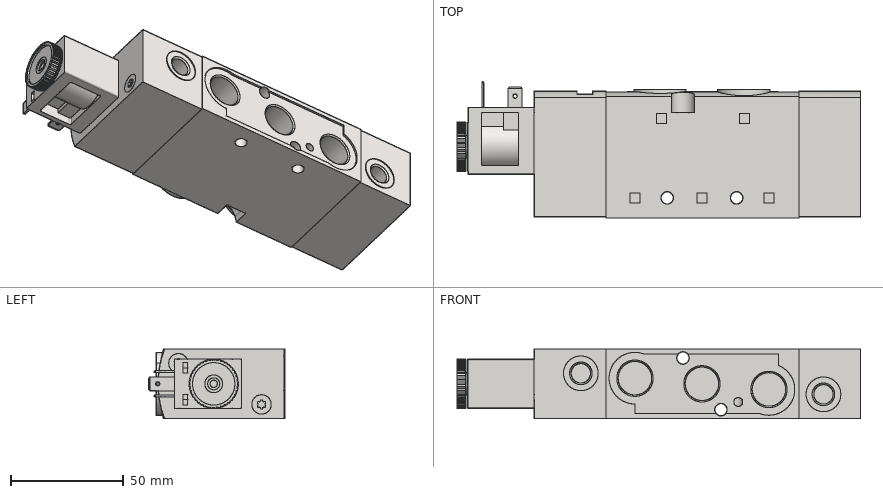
import cadquery as cq
import math


HEIGHT = 31.0
HALF_HEIGHT = HEIGHT / 2
HOUSING_LEFT, HOUSING_RIGHT = -23.5, 62.5
PILOT_CAP_LEFT = -55.5
END_CAP_RIGHT = 89.8
HOUSING_FRONT = -30.4
CAP_FRONT = -29.8
HOUSING_CROWN_Y = 25.9
CAP_CROWN_Y = 26.2
HOUSING_EDGE_Y = 23.7
CAP_EDGE_Y = 23.2

MID_X = 19.2
PORT_PITCH = 29.8
PORT_RISE = 2.5
PORT_BORE, PORT_MOUTH = 15.0, 16.2
PORT_DEPTH = 18.0
GASKET_RADIUS = 11.5
GASKET_HALF_HEIGHT = 13.3
GASKET_DEPTH = 0.9
GASKET_STEP_X = 53.4
BOLT_HOLE = 5.4
CROSS_BOLT_OFFSET, CROSS_BOLT_Z = 8.5, 11.5
BOLT_SLOT_WIDTH = 10.0
BOLT_SLOT_FLOOR_Y = 16.5
VERTICAL_BOLT_OFFSET = 15.5
FRONT_ROW_Y = -21.4
PIN_HOLE, PIN_HOLE_DEPTH = 4.0, 7.2
PIN_HOLE_X, PIN_HOLE_Z = 35.4, -8.0
BOSS_DIAMETER = 23.4
BOSS_OFFSET, BOSS_RISE = 18.7, 2.3
BOSS_FACE_Y = 27.0
LABEL_SIZE, LABEL_DEPTH = 4.5, 0.4
REAR_LABEL_Y = 14.0
REAR_LABEL_XS = (1.3, 38.0)

CAP_PORT_BORE, CAP_PORT_MOUTH = 8.6, 10.0
CAP_PORT_DEPTH = 14.4
SPOTFACE_DIAMETER, SPOTFACE_DEPTH = 15.5, 0.4
PILOT_PORT_X, END_PORT_X = -34.7, 73.3
CAP_PORT_RISE = 4.7
GROOVE_X, GROOVE_WIDTH, GROOVE_FLOOR_Y = -32.9, 6.8, 24.8

SCREW_DIAMETER = 8.6
SCREW_PLACES = [(17.0, 9.2), (-20.0, -9.2)]
SOCKET_CORE, SOCKET_LOBE, SOCKET_LOBES = 3.0, 1.0, 6
SOCKET_DEPTH = 1.5

COIL_LEFT = -84.8
COIL_FRONT, COIL_BACK = -11.0, 18.9
COIL_HALF_HEIGHT = 11.0
COIL_EDGE_RADIUS = 0.4
AXIS_Y = 1.35
WINDING_DIAMETER = 20.5
WINDOW_LEFT, WINDOW_RIGHT = -78.9, -62.3
WINDOW_FRONT, WINDOW_BACK = -7.0, 16.7
WINDOW_CORNER = 0.7
WINDOW_FLOOR_Z = 4.9
LEDGE_LEFT, LEDGE_FRONT, LEDGE_Z = -69.0, 8.0, 7.0
SLOT_FRONT, SLOT_BACK, SLOT_TOP_Z = 13.0, 15.0, 9.5
TOOTH_COUNT = 36
TOOTH_INNER_RADIUS, TOOTH_OUTER_RADIUS = 9.5, 10.8
TOOTH_HEIGHT, TOOTH_WIDTH = 0.5, 1.0

BLADE_WIDTH, BLADE_THICKNESS = 6.3, 0.9
BLADE_HOLE = 1.75
BLADE_TIP_LENGTH = 0.7
BLADE_TIP_INSET = 0.7
BLADE_TIP_THINNING = 0.27
BLADE_HOLE_TO_TIP = 4.1
GROUND_BLADE_X, GROUND_BLADE_TIP_Y = -78.3, 30.4
POWER_BLADE_X, POWER_BLADE_TIP_Y, POWER_BLADE_Z = -64.0, 28.0, 5.4

NUT_LEFT, NUT_RIGHT = -89.8, -86.0
NUT_DIAMETER = 22.0
NUT_RECESS, NUT_RECESS_DEPTH = 18.9, 0.9
KNURL_COUNT, KNURL_WIDTH, KNURL_DEPTH = 40, 0.7, 0.4
HUB_DIAMETER = 10.0
STEM_DIAMETER = 7.9
STEM_RECESS, STEM_RECESS_DEPTH = 5.4, 0.9
STEM_SOCKET, STEM_SOCKET_DEPTH = 3.2, 3.6


def block(x0, x1, y0, y1, z0, z1):
    """Box between two opposite corners."""
    return cq.Workplane("XY").box(x1 - x0, y1 - y0, z1 - z0, centered=False).translate((x0, y0, z0))


def rod_x(x0, x1, y, z, diameter):
    """Cylinder along X."""
    return cq.Workplane("YZ", origin=(x0, y, z)).circle(diameter / 2).extrude(x1 - x0)


def rod_y(y0, y1, x, z, diameter):
    """Cylinder along Y."""
    return cq.Workplane("XZ", origin=(x, y0, z)).circle(diameter / 2).extrude(y0 - y1)


def bulged_block(x0, x1, front_y, edge_y, crown_y):
    """Full-height block whose +Y side bulges out to the crown."""
    return (
        cq.Workplane("YZ", origin=(x0, 0, 0))
        .moveTo(front_y, -HALF_HEIGHT)
        .lineTo(edge_y, -HALF_HEIGHT)
        .threePointArc((crown_y, 0), (edge_y, HALF_HEIGHT))
        .lineTo(front_y, HALF_HEIGHT)
        .close()
        .extrude(x1 - x0)
    )


def port(face_y, x, z, bore, mouth, depth):
    """Blind bore from a -Y face with a 45 degree chamfer at its mouth."""
    chamfer = (mouth - bore) / 2
    cone = cq.Solid.makeCone(mouth / 2, bore / 2, chamfer, cq.Vector(x, face_y, z), cq.Vector(0, 1, 0))
    return rod_y(face_y, face_y + depth, x, z, bore).union(cq.Workplane(cone))


def gasket_recess():
    """Stepped band across the housing front, rounded about the two outer ports."""
    left_x, right_x = MID_X - PORT_PITCH, MID_X + PORT_PITCH
    run_out = math.sqrt(GASKET_RADIUS**2 - (GASKET_HALF_HEIGHT - PORT_RISE) ** 2)
    step_z = math.sqrt(GASKET_RADIUS**2 - (GASKET_STEP_X - right_x) ** 2) - PORT_RISE
    return (
        cq.Workplane("XZ", origin=(0, HOUSING_FRONT + GASKET_DEPTH, 0))
        .moveTo(left_x, PORT_RISE - GASKET_RADIUS)
        .threePointArc((left_x - GASKET_RADIUS, PORT_RISE), (left_x + run_out, GASKET_HALF_HEIGHT))
        .lineTo(GASKET_STEP_X, GASKET_HALF_HEIGHT)
        .lineTo(GASKET_STEP_X, step_z)
        .threePointArc((right_x + GASKET_RADIUS, -PORT_RISE), (right_x - run_out, -GASKET_HALF_HEIGHT))
        .lineTo(left_x, -GASKET_HALF_HEIGHT)
        .close()
        .extrude(GASKET_DEPTH)
    )


def cross_bolt_cut(side):
    """Bolt hole along Y with a head slot open to the top (side 1) or the bottom (side -1)."""
    x, z = MID_X - side * CROSS_BOLT_OFFSET, side * CROSS_BOLT_Z
    z0, z1 = sorted((z, side * HEIGHT))
    half_width = BOLT_SLOT_WIDTH / 2
    slot_end = 2 * HOUSING_CROWN_Y
    hole = rod_y(HOUSING_FRONT, slot_end, x, z, BOLT_HOLE)
    slot_bottom = rod_y(BOLT_SLOT_FLOOR_Y, slot_end, x, z, BOLT_SLOT_WIDTH)
    slot_walls = block(x - half_width, x + half_width, BOLT_SLOT_FLOOR_Y, slot_end, z0, z1)
    return hole.union(slot_bottom).union(slot_walls)


def label_field(x, y):
    """Shallow square field in the top face that frames a port number."""
    half = LABEL_SIZE / 2
    return block(x - half, x + half, y - half, y + half, HALF_HEIGHT - LABEL_DEPTH, HEIGHT)


def make_housing():
    body = bulged_block(HOUSING_LEFT, HOUSING_RIGHT, HOUSING_FRONT, HOUSING_EDGE_Y, HOUSING_CROWN_Y)
    for side in (-1, 1):
        boss_x = MID_X + side * BOSS_OFFSET
        body = body.union(rod_y(0, BOSS_FACE_Y, boss_x, side * BOSS_RISE, BOSS_DIAMETER))
    for label_x in REAR_LABEL_XS:
        body = body.cut(label_field(label_x, REAR_LABEL_Y))

    body = body.cut(gasket_recess())
    floor_y = HOUSING_FRONT + GASKET_DEPTH
    for step in (-1, 0, 1):
        x = MID_X + step * PORT_PITCH
        body = body.cut(port(floor_y, x, -step * PORT_RISE, PORT_BORE, PORT_MOUTH, PORT_DEPTH))
        body = body.cut(label_field(x, FRONT_ROW_Y))
    body = body.cut(rod_y(floor_y, floor_y + PIN_HOLE_DEPTH, PIN_HOLE_X, PIN_HOLE_Z, PIN_HOLE))

    for side in (-1, 1):
        body = body.cut(cross_bolt_cut(side))
        vertical_x = MID_X + side * VERTICAL_BOLT_OFFSET
        vertical_hole = cq.Workplane("XY").center(vertical_x, FRONT_ROW_Y).circle(BOLT_HOLE / 2)
        body = body.cut(vertical_hole.extrude(HEIGHT, both=True))
    return body


def make_cap(x0, x1, port_x, port_z):
    """Cap with one threaded port inside a shallow spotface."""
    body = bulged_block(x0, x1, CAP_FRONT, CAP_EDGE_Y, CAP_CROWN_Y)
    floor_y = CAP_FRONT + SPOTFACE_DEPTH
    body = body.cut(rod_y(CAP_FRONT, floor_y, port_x, port_z, SPOTFACE_DIAMETER))
    return body.cut(port(floor_y, port_x, port_z, CAP_PORT_BORE, CAP_PORT_MOUTH, CAP_PORT_DEPTH))


def make_pilot_cap():
    """Cap on the coil side, with a groove across its crown and holes for the screws."""
    body = make_cap(PILOT_CAP_LEFT, HOUSING_LEFT, PILOT_PORT_X, CAP_PORT_RISE)
    half_width = GROOVE_WIDTH / 2
    body = body.cut(
        block(
            GROOVE_X - half_width, GROOVE_X + half_width,
            GROOVE_FLOOR_Y, CAP_CROWN_Y,
            -HALF_HEIGHT, HALF_HEIGHT,
        )
    )
    for y, z in SCREW_PLACES:
        body = body.cut(rod_x(PILOT_CAP_LEFT, HOUSING_LEFT, y, z, SCREW_DIAMETER))
    return body


def make_screw(y, z):
    """Flush screw through the pilot cap, with a six-lobed socket."""
    socket_end = PILOT_CAP_LEFT + SOCKET_DEPTH
    body = rod_x(PILOT_CAP_LEFT, HOUSING_LEFT, y, z, SCREW_DIAMETER)
    body = body.cut(rod_x(PILOT_CAP_LEFT, socket_end, y, z, SOCKET_CORE))
    for lobe in range(SOCKET_LOBES):
        angle = math.pi / 2 + lobe * 2 * math.pi / SOCKET_LOBES
        lobe_y = y + SOCKET_CORE / 2 * math.cos(angle)
        lobe_z = z + SOCKET_CORE / 2 * math.sin(angle)
        body = body.cut(rod_x(PILOT_CAP_LEFT, socket_end, lobe_y, lobe_z, SOCKET_LOBE))
    return body


def coil_window():
    """Upper coil window; the winding and a ledge stand in it, and a slot leads out through -X."""
    window = block(
        WINDOW_LEFT, WINDOW_RIGHT, WINDOW_FRONT, WINDOW_BACK, WINDOW_FLOOR_Z, COIL_HALF_HEIGHT
    ).edges("|Z").fillet(WINDOW_CORNER)
    winding = rod_x(WINDOW_LEFT, WINDOW_RIGHT, AXIS_Y, 0, WINDING_DIAMETER)
    ledge = block(LEDGE_LEFT, WINDOW_RIGHT, LEDGE_FRONT, WINDOW_BACK, WINDOW_FLOOR_Z, LEDGE_Z)
    slot = block(COIL_LEFT, LEDGE_LEFT, SLOT_FRONT, SLOT_BACK, WINDOW_FLOOR_Z, SLOT_TOP_Z)
    return window.cut(winding).cut(ledge).union(slot)


def tapered_strip(plane, half_width, tip_inset, tip_y):
    """Strip along Y that narrows at its tip, drawn on the given plane and extruded to both sides."""
    shoulder_y = tip_y - BLADE_TIP_LENGTH
    tip_half_width = half_width - tip_inset
    outline = [
        (-half_width, COIL_BACK), (-half_width, shoulder_y), (-tip_half_width, tip_y),
        (tip_half_width, tip_y), (half_width, shoulder_y), (half_width, COIL_BACK),
    ]
    return cq.Workplane(plane).polyline(outline).close().extrude(BLADE_WIDTH, both=True)


def blade(tip_y):
    """Terminal blade lying flat about the Z = 0 plane, centred on X = 0."""
    side_plane = cq.Plane(origin=(0, 0, 0), xDir=(0, 0, -1), normal=(1, 0, 0))
    flat_plane = cq.Plane.XY()
    body = tapered_strip(flat_plane, BLADE_WIDTH / 2, BLADE_TIP_INSET, tip_y)
    body = body.intersect(tapered_strip(side_plane, BLADE_THICKNESS / 2, BLADE_TIP_THINNING, tip_y))
    hole = cq.Workplane("XY").center(0, tip_y - BLADE_HOLE_TO_TIP).circle(BLADE_HOLE / 2)
    return body.cut(hole.extrude(BLADE_THICKNESS, both=True))


def make_coil():
    body = block(COIL_LEFT, PILOT_CAP_LEFT, COIL_FRONT, COIL_BACK, -COIL_HALF_HEIGHT, COIL_HALF_HEIGHT)
    body = body.edges("|X and <Y").fillet(COIL_EDGE_RADIUS)
    window = coil_window()
    body = body.cut(window).cut(window.mirror("XY"))

    ground_blade = blade(GROUND_BLADE_TIP_Y).rotate((0, 0, 0), (0, 1, 0), 90)
    body = body.union(ground_blade.translate((GROUND_BLADE_X, 0, 0)))
    for z in (-POWER_BLADE_Z, POWER_BLADE_Z):
        body = body.union(blade(POWER_BLADE_TIP_Y).translate((POWER_BLADE_X, 0, z)))

    tooth = block(
        COIL_LEFT - TOOTH_HEIGHT, COIL_LEFT,
        TOOTH_INNER_RADIUS, TOOTH_OUTER_RADIUS,
        -TOOTH_WIDTH / 2, TOOTH_WIDTH / 2,
    )
    for number in range(TOOTH_COUNT):
        turned = tooth.rotate((0, 0, 0), (1, 0, 0), number * 360 / TOOTH_COUNT)
        body = body.union(turned.translate((0, AXIS_Y, 0)))
    return body.cut(rod_x(COIL_LEFT, PILOT_CAP_LEFT, AXIS_Y, 0, STEM_DIAMETER))


def make_nut():
    """Knurled nut with a recessed face and a hub that bears on the coil."""
    body = rod_x(NUT_LEFT, NUT_RIGHT, AXIS_Y, 0, NUT_DIAMETER)
    body = body.cut(rod_x(NUT_LEFT, NUT_LEFT + NUT_RECESS_DEPTH, AXIS_Y, 0, NUT_RECESS))
    body = body.union(rod_x(NUT_RIGHT, COIL_LEFT, AXIS_Y, 0, HUB_DIAMETER))
    radius = NUT_DIAMETER / 2
    groove = block(
        NUT_LEFT, NUT_RIGHT, radius - KNURL_DEPTH, radius + KNURL_DEPTH, -KNURL_WIDTH / 2, KNURL_WIDTH / 2
    )
    for number in range(KNURL_COUNT):
        turned = groove.rotate((0, 0, 0), (1, 0, 0), number * 360 / KNURL_COUNT)
        body = body.cut(turned.translate((0, AXIS_Y, 0)))
    return body.cut(rod_x(NUT_LEFT, COIL_LEFT, AXIS_Y, 0, STEM_DIAMETER))


def make_stem():
    """Stem from the nut face through the coil to the pilot cap."""
    stem_left = NUT_LEFT + NUT_RECESS_DEPTH
    recess_floor = stem_left + STEM_RECESS_DEPTH
    body = rod_x(stem_left, PILOT_CAP_LEFT, AXIS_Y, 0, STEM_DIAMETER)
    body = body.cut(rod_x(stem_left, recess_floor, AXIS_Y, 0, STEM_RECESS))
    return body.cut(rod_x(recess_floor, recess_floor + STEM_SOCKET_DEPTH, AXIS_Y, 0, STEM_SOCKET))


housing = make_housing()
pilot_cap = make_pilot_cap()
end_cap = make_cap(HOUSING_RIGHT, END_CAP_RIGHT, END_PORT_X, -CAP_PORT_RISE)
coil = make_coil()
nut = make_nut()
stem = make_stem()
screws = [make_screw(y, z) for y, z in SCREW_PLACES]

result = cq.Compound.makeCompound([
    housing.val(),
    pilot_cap.val(),
    end_cap.val(),
    coil.val(),
    nut.val(),
    stem.val(),
    *[screw.val() for screw in screws],
])